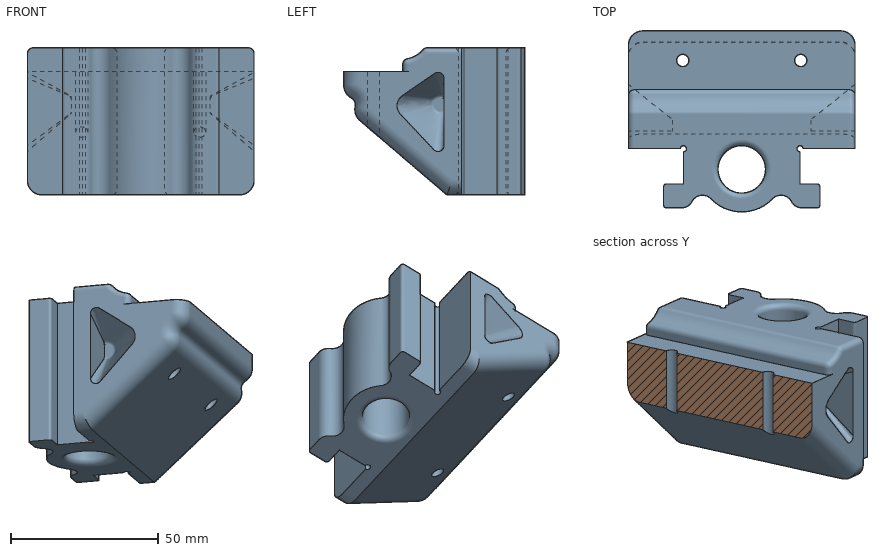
import cadquery as cq
import math

WIDTH = 77.0
DEPTH = 61.5
HEIGHT = 50.0
WING_FRONT = 21.5

SHELF_Z = 42.0
LIP_Y = 41.5
COVE_RADIUS = 9.0
COVE_Z = 55.1
BEAD_RADIUS = 2.55
BEAD_Y = 60.1
BEAD_Z = 30.65
SLOPE_FOOT_Y = 26.5
SLOPE_ANGLE = 40.5
TOP_ROUND = 2.0
BACK_ROUND = 5.0

NECK_HALF = 19.8
FLANGE_HALF = 26.6
FLANGE_BACK = 9.55
FLANGE_FRONT = 1.4
FLANGE_ROUND = 1.0
BOSS_RADIUS = 14.5
HOLLOW_RADIUS = 4.0
HOLLOW_X = 13.3
RELIEF_RADIUS = 1.0
RELIEF_LIP_ROUND = 0.5

BORE_DIAMETER = 16.0
BORE_ROUND = 2.0
BOLT_DIAMETER = 4.1
BOLT_X = 20.0
BOLT_Y = 51.4

POCKET_FRONT = 27.5
POCKET_TOP = 43.4
POCKET_BOTTOM = 11.7
POCKET_BACK = 45.6
POCKET_BACK_Z = 30.95
POCKET_BACK_ROUND = 4.15
POCKET_ROUND = 2.0
POCKET_DEPTH = 15.0
FLOOR_RADIUS = 2.9
FLOOR_Y = 28.5
FLOOR_Z = 30.65
FLOOR_SPLITS = (-84, -8, 36, 98)
FLOOR_ROUND = 1.0


def polar(center, radius, degrees):
    angle = math.radians(degrees)
    return (center[0] + radius * math.cos(angle), center[1] + radius * math.sin(angle))


def wide_body():
    cove_y = LIP_Y - math.sqrt(COVE_RADIUS**2 - (COVE_Z - HEIGHT) ** 2)
    cove_center = (LIP_Y, COVE_Z)
    cove_end_angle = math.degrees(math.atan2(HEIGHT - COVE_Z, cove_y - LIP_Y)) % 360
    cove_mid = polar(cove_center, COVE_RADIUS, (cove_end_angle + 270) / 2)

    bead_center = (BEAD_Y, BEAD_Z)
    bead_top = BEAD_Z + math.sqrt(BEAD_RADIUS**2 - (DEPTH - BEAD_Y) ** 2)
    slope = math.radians(SLOPE_ANGLE)
    run_y = BEAD_Y - SLOPE_FOOT_Y
    along = run_y * math.cos(slope) + BEAD_Z * math.sin(slope)
    across = BEAD_Z * math.cos(slope) - run_y * math.sin(slope)
    along -= math.sqrt(BEAD_RADIUS**2 - across**2)
    bead_bottom = (SLOPE_FOOT_Y + along * math.cos(slope), along * math.sin(slope))

    body = (
        cq.Workplane("YZ", origin=(-WIDTH / 2, 0, 0))
        .moveTo(WING_FRONT, 0)
        .lineTo(WING_FRONT, HEIGHT)
        .lineTo(cove_y, HEIGHT)
        .threePointArc(cove_mid, (LIP_Y, COVE_Z - COVE_RADIUS))
        .lineTo(LIP_Y, SHELF_Z)
        .lineTo(DEPTH, SHELF_Z)
        .lineTo(DEPTH, bead_top)
        .threePointArc(polar(bead_center, BEAD_RADIUS, 180), bead_bottom)
        .lineTo(SLOPE_FOOT_Y, 0)
        .close()
        .extrude(WIDTH)
    )

    margin = 0.1
    top_zone = cq.selectors.BoxSelector(
        (-WIDTH, WING_FRONT + margin, SHELF_Z + margin), (WIDTH, LIP_Y + margin, HEIGHT + margin)
    )
    back_zone = cq.selectors.BoxSelector(
        (-WIDTH, WING_FRONT + margin, -margin), (WIDTH, DEPTH + margin, SHELF_Z - margin)
    )
    foot_zone = cq.selectors.BoxSelector(
        (-margin, SLOPE_FOOT_Y - margin, -margin), (margin, SLOPE_FOOT_Y + margin, margin)
    )
    body = body.edges(top_zone).fillet(TOP_ROUND)
    return body.edges(back_zone - foot_zone).fillet(BACK_ROUND)


def rail():
    bore = (0, BOSS_RADIUS)
    hollow_y = BOSS_RADIUS - math.sqrt((BOSS_RADIUS + HOLLOW_RADIUS) ** 2 - HOLLOW_X**2)
    shoulder_y = FLANGE_FRONT + HOLLOW_RADIUS
    shoulder_x = HOLLOW_X + math.sqrt((2 * HOLLOW_RADIUS) ** 2 - (shoulder_y - hollow_y) ** 2)
    boss_share = BOSS_RADIUS / (BOSS_RADIUS + HOLLOW_RADIUS)
    boss_end = (HOLLOW_X * boss_share, BOSS_RADIUS + (hollow_y - BOSS_RADIUS) * boss_share)
    hollow_end = ((HOLLOW_X + shoulder_x) / 2, (hollow_y + shoulder_y) / 2)
    shoulder_angle = math.degrees(math.atan2(hollow_y - shoulder_y, HOLLOW_X - shoulder_x)) % 360
    shoulder_mid = polar((shoulder_x, shoulder_y), HOLLOW_RADIUS, (shoulder_angle + 270) / 2)
    half = (
        cq.Workplane("XY")
        .moveTo(0, 0)
        .threePointArc(polar(bore, BOSS_RADIUS, -70), boss_end)
        .threePointArc((HOLLOW_X, hollow_y + HOLLOW_RADIUS), hollow_end)
        .threePointArc(shoulder_mid, (shoulder_x, FLANGE_FRONT))
        .lineTo(FLANGE_HALF, FLANGE_FRONT)
        .lineTo(FLANGE_HALF, FLANGE_BACK)
        .lineTo(NECK_HALF, FLANGE_BACK)
        .lineTo(NECK_HALF, WING_FRONT)
        .lineTo(0, WING_FRONT)
        .close()
        .extrude(HEIGHT)
        .edges("|Z and >X")
        .fillet(FLANGE_ROUND)
    )
    return half.union(half.mirror("YZ"))


def pocket():
    """Pocket cutter on the -X side, shrinking from a rounded triangle to a small D."""
    triangle = (
        cq.Workplane("YZ", origin=(-WIDTH / 2, 0, 0))
        .polyline([
            (POCKET_FRONT, POCKET_BOTTOM),
            (POCKET_FRONT, POCKET_TOP),
            (POCKET_BACK, POCKET_BACK_Z),
        ])
        .close()
        .extrude(0.8)
        .edges("|X and >Y")
        .fillet(POCKET_BACK_ROUND)
        .edges("|X and <Y")
        .fillet(POCKET_ROUND)
    )
    mouth = triangle.faces("<X").wires().val()

    center = (FLOOR_Y, FLOOR_Z)
    wall_angle = math.degrees(math.acos((POCKET_FRONT - FLOOR_Y) / FLOOR_RADIUS))
    stops = (-wall_angle, *FLOOR_SPLITS, wall_angle)
    floor = cq.Workplane("YZ", origin=(POCKET_DEPTH - WIDTH / 2, 0, 0))
    floor = floor.moveTo(*polar(center, FLOOR_RADIUS, stops[0]))
    for start, end in zip(stops, stops[1:]):
        middle = polar(center, FLOOR_RADIUS, (start + end) / 2)
        floor = floor.threePointArc(middle, polar(center, FLOOR_RADIUS, end))
    rim = floor.close().val()
    cutter = cq.Workplane(cq.Solid.makeLoft([mouth, rim], True))
    return cutter.faces(">X").edges("not <Y").fillet(FLOOR_ROUND)


def bore():
    """Through bore with both mouths rounded outward."""
    radius = BORE_DIAMETER / 2
    flare = radius + BORE_ROUND
    bend = BORE_ROUND * (1 - math.sqrt(0.5))
    return (
        cq.Workplane("XZ")
        .moveTo(0, 0)
        .lineTo(flare, 0)
        .threePointArc((radius + bend, bend), (radius, BORE_ROUND))
        .lineTo(radius, HEIGHT - BORE_ROUND)
        .threePointArc((radius + bend, HEIGHT - bend), (flare, HEIGHT))
        .lineTo(0, HEIGHT)
        .close()
        .revolve(360, (0, 0, 0), (0, 1, 0))
        .translate((0, BOSS_RADIUS, 0))
    )


def upright_holes(x, y, radius):
    """Mirrored pair of vertical through holes."""
    return cq.Workplane("XY").pushPoints([(-x, y), (x, y)]).circle(radius).extrude(HEIGHT)


def round_relief_lips(body):
    lip_y = WING_FRONT - RELIEF_RADIUS
    margin = 0.1
    for x in (-NECK_HALF, NECK_HALF):
        zone = cq.selectors.BoxSelector(
            (x - margin, lip_y - margin, 0), (x + margin, lip_y + margin, HEIGHT)
        )
        body = body.edges("|Z").edges(zone).fillet(RELIEF_LIP_ROUND)
    return body


left_pocket = pocket()
body = (
    wide_body()
    .union(rail())
    .cut(bore())
    .cut(upright_holes(NECK_HALF, WING_FRONT, RELIEF_RADIUS))
    .cut(upright_holes(BOLT_X, BOLT_Y, BOLT_DIAMETER / 2))
    .cut(left_pocket)
    .cut(left_pocket.mirror("YZ"))
)
result = round_relief_lips(body)